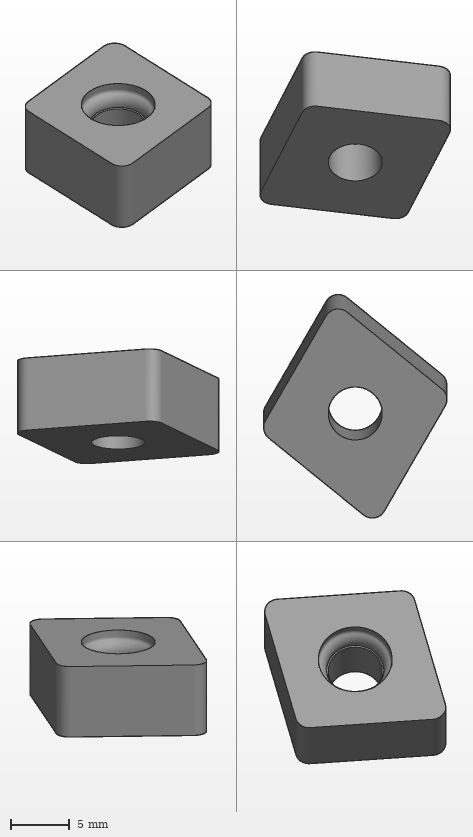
import cadquery as cq
import math

inscribed_diameter = 12.7
thickness = 6.35
corner_angle = math.radians(80)
corner_radius = 1.19

hole_radius = 4.6 / 2
mouth_radius = 3.14
mouth_depth = 0.62
throat_radius = 2.44
throat_length = 0.15
lip_depth = 0.06
seat_angle = math.radians(60)
hollow_radius = 0.34
bulge_radius = (mouth_radius - throat_radius) / (1 - math.cos(seat_angle)) - hollow_radius


def make_plate():
    half_width = inscribed_diameter / 2
    half_side = half_width / math.sin(corner_angle)
    rise = half_width / math.tan(corner_angle)
    corners = [
        (-half_width, half_side + rise),
        (half_width, half_side - rise),
        (half_width, -half_side - rise),
        (-half_width, -half_side + rise),
    ]
    plate = cq.Workplane("XY").polyline(corners).close().extrude(thickness)
    return plate.edges("|Z").fillet(corner_radius)


def make_hole_cutter():
    """Revolve the half profile of the hole; local coordinates are radius and height."""
    hollow_center = (mouth_radius - hollow_radius, thickness - mouth_depth)
    join_height = hollow_center[1] - hollow_radius * math.sin(seat_angle)
    throat_top = join_height - bulge_radius * math.sin(seat_angle)
    bulge_center = (throat_radius + bulge_radius, throat_top)
    throat_bottom = throat_top - throat_length

    def hollow_point(angle):
        return (
            hollow_center[0] + hollow_radius * math.cos(angle),
            hollow_center[1] - hollow_radius * math.sin(angle),
        )

    def bulge_point(angle):
        return (
            bulge_center[0] - bulge_radius * math.cos(angle),
            bulge_center[1] + bulge_radius * math.sin(angle),
        )

    profile = (
        cq.Workplane("XZ")
        .moveTo(0, thickness)
        .lineTo(mouth_radius, thickness)
        .lineTo(*hollow_point(0))
        .threePointArc(hollow_point(seat_angle / 2), hollow_point(seat_angle))
        .threePointArc(bulge_point(seat_angle / 2), bulge_point(0))
        .lineTo(throat_radius, throat_bottom)
        .lineTo(hole_radius, throat_bottom - lip_depth)
        .lineTo(hole_radius, 0)
        .lineTo(0, 0)
        .close()
    )
    return profile.revolve(360, (0, 0, 0), (0, 1, 0))


result = make_plate().cut(make_hole_cutter())